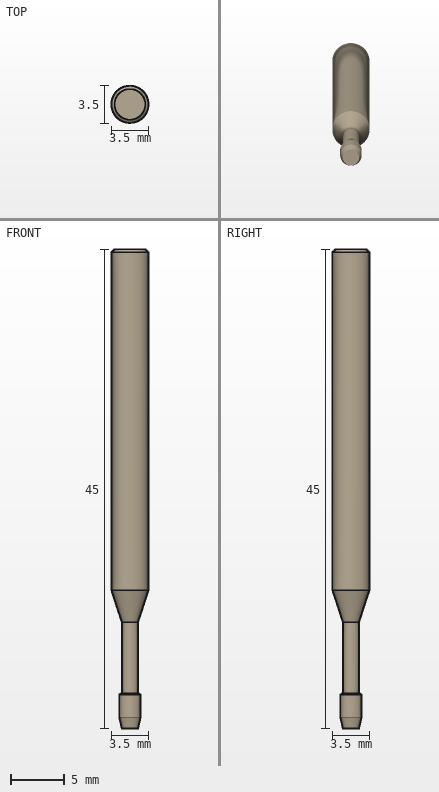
import cadquery as cq
import math

total_length = 45.0
tip_taper_height = 1.1
head_shoulder = 3.2
neck_top = 10.0
shank_bottom = 13.0

shank_diameter = 3.5
neck_diameter = 1.55
head_diameter = 2.02
tip_diameter = 1.55

shank_chamfer = 0.3

back_angle = 30.0
back_cone_height = math.tan(math.radians(back_angle)) * (head_diameter - neck_diameter) / 2
head_height = head_shoulder + back_cone_height


def make_holder():
    """Long shank with a chamfered top, tapering down to a slim neck."""
    shank_radius = shank_diameter / 2
    neck_radius = neck_diameter / 2
    return (
        cq.Workplane("XZ")
        .moveTo(0, head_height)
        .lineTo(neck_radius, head_height)
        .lineTo(neck_radius, neck_top)
        .lineTo(shank_radius, shank_bottom)
        .lineTo(shank_radius, total_length - shank_chamfer)
        .lineTo(shank_radius - shank_chamfer, total_length)
        .lineTo(0, total_length)
        .close()
        .revolve(360, (0, 0), (0, 1))
    )


def make_head():
    """Cylindrical working head with a tapered tip and a conical back, seated under the neck."""
    head_radius = head_diameter / 2
    return (
        cq.Workplane("XZ")
        .lineTo(tip_diameter / 2, 0)
        .lineTo(head_radius, tip_taper_height)
        .lineTo(head_radius, head_shoulder)
        .lineTo(neck_diameter / 2, head_height)
        .lineTo(0, head_height)
        .close()
        .revolve(360, (0, 0), (0, 1))
    )


holder = make_holder()
head = make_head()

result = cq.Compound.makeCompound([holder.val(), head.val()])